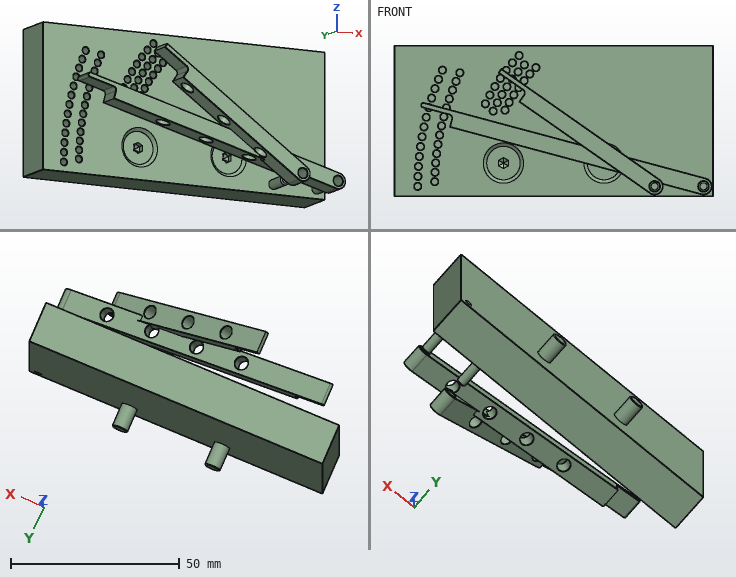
import cadquery as cq
import math

EDGE_CHAMFER = 0.2

PLATE_LENGTH = 95.0
PLATE_HEIGHT = 45.0
PLATE_THICKNESS = 12.9

ARM_WIDTH = 5.0
ARM_THICKNESS = 7.0
ARM_GAP = 6.8
ARM_OVERLAP = 2.0
POINTER_THICKNESS = 1.5
POINTER_LENGTH = 10.0
TIP_RADIUS = 0.7
NOTCH_RADIUS = 1.0
PIVOT_HEIGHT = 3.0
CROSS_HOLE_DIAMETER = 4.0
CROSS_HOLE_START = 13.5
CROSS_HOLE_PITCH = 15.0

LONG_PIVOT_X = 92.1
LONG_ARM_ANGLE = 15.0
LONG_ARM_REACH = 87.5
LONG_CROSS_HOLES = 4

SHORT_PIVOT_X = LONG_PIVOT_X - 14.5
SHORT_ARM_ANGLE = 35.0
SHORT_ARM_REACH = 57.5
SHORT_CROSS_HOLES = 3

LONG_ARM_BACK = -ARM_GAP
SHORT_ARM_BACK = LONG_ARM_BACK - ARM_THICKNESS + ARM_OVERLAP

PIN_DIAMETER = 3.0
PIN_CHAMFER = 0.5
PIN_LENGTH = PLATE_THICKNESS + ARM_GAP
SHORT_PIN_ADVANCE = 1.0

INDEX_HOLE_DIAMETER = 2.0
INDEX_HOLE_DEPTH = 6.0
LONG_INDEX_STEP = 2.0
LONG_INDEX_ROWS = [(85.0, 0.0, 13), (80.0, 1.0, 13)]
SHORT_INDEX_STEP = 3.0
SHORT_INDEX_ROWS = [(56.05, 26.0, 7), (53.0, 25.0, 7), (50.0, 27.0, 7)]

SCREW_SPACING = 29.9
SCREW_HEIGHT = 10.0
SHANK_DIAMETER = 4.9
HEAD_DIAMETER = 10.0
COUNTERSINK_DIAMETER = 12.0
SCREW_PROTRUSION = 7.4
SCREW_END_CHAMFER = 0.3
SOCKET_WIDTH = 2.85
SOCKET_DEPTH = 1.9
SOCKET_TAPER = 60.0
HEAD_RECESS = (COUNTERSINK_DIAMETER - HEAD_DIAMETER) / 2
SCREW_XS = [PLATE_LENGTH / 2 + side * SCREW_SPACING / 2 for side in (-1, 1)]


def turned(profile, plane):
    """Solid turned from (radius, distance) points about the normal of the plane."""
    points = [(0, profile[0][1])] + profile + [(0, profile[-1][1])]
    body = cq.Workplane("XZ").polyline(points).close().revolve(360, (0, 0), (0, 1))
    return cq.Workplane(body.val().located(cq.Location(plane)))


def facing_back(x, y, z):
    """Plane whose normal points to the back (+Y)."""
    return cq.Plane((x, y, z), xDir=(1, 0, 0), normal=(0, 1, 0))


def through_hole(diameter, depth, plane):
    """Cutter for a through hole with both rims chamfered."""
    radius = diameter / 2
    rim = radius + EDGE_CHAMFER
    return turned(
        [(rim, 0), (radius, EDGE_CHAMFER), (radius, depth - EDGE_CHAMFER), (rim, depth)], plane
    )


def blind_hole(diameter, depth, plane):
    """Cutter for a flat-bottomed hole with a chamfered mouth."""
    radius = diameter / 2
    return turned([(radius + EDGE_CHAMFER, 0), (radius, EDGE_CHAMFER), (radius, depth)], plane)


def index_holes(pivot_x, rows, step):
    cutters = []
    for radius, first_angle, count in rows:
        for index in range(count):
            angle = math.radians(first_angle + index * step)
            x = pivot_x - radius * math.cos(angle)
            z = PIVOT_HEIGHT + radius * math.sin(angle)
            cutters.append(blind_hole(INDEX_HOLE_DIAMETER, INDEX_HOLE_DEPTH, facing_back(x, 0, z)))
    return cutters


def countersunk_hole(x):
    rim = COUNTERSINK_DIAMETER / 2
    shank = SHANK_DIAMETER / 2
    profile = [(rim, 0), (shank, rim - shank), (shank, PLATE_THICKNESS)]
    return turned(profile, facing_back(x, 0, SCREW_HEIGHT))


def make_plate():
    plate = cq.Workplane("XY").box(
        PLATE_LENGTH, PLATE_THICKNESS, PLATE_HEIGHT, centered=False
    ).edges().chamfer(EDGE_CHAMFER)
    cutters = index_holes(LONG_PIVOT_X, LONG_INDEX_ROWS, LONG_INDEX_STEP)
    cutters += index_holes(SHORT_PIVOT_X, SHORT_INDEX_ROWS, SHORT_INDEX_STEP)
    cutters += [countersunk_hole(x) for x in SCREW_XS]
    for cutter in cutters:
        plate = plate.cut(cutter)
    return plate


def make_screw(x):
    head = HEAD_DIAMETER / 2
    shank = SHANK_DIAMETER / 2
    length = PLATE_THICKNESS + SCREW_PROTRUSION - HEAD_RECESS
    profile = [
        (head, 0),
        (shank, head - shank),
        (shank, length - SCREW_END_CHAMFER),
        (shank - SCREW_END_CHAMFER, length),
    ]
    plane = facing_back(x, HEAD_RECESS, SCREW_HEIGHT)
    corner_diameter = SOCKET_WIDTH / math.cos(math.radians(30))
    point_depth = 0.98 * SOCKET_WIDTH / 2 / math.tan(math.radians(SOCKET_TAPER))
    socket = cq.Workplane(plane).transformed(rotate=(0, 0, 90)).polygon(6, corner_diameter)
    socket = socket.extrude(SOCKET_DEPTH)
    point = cq.Workplane(plane).workplane(offset=SOCKET_DEPTH).transformed(rotate=(0, 0, 90))
    point = point.polygon(6, corner_diameter).extrude(point_depth, taper=SOCKET_TAPER)
    return turned(profile, plane).cut(socket).cut(point)


def make_pin(x, advance):
    radius = PIN_DIAMETER / 2
    tip = radius - PIN_CHAMFER
    profile = [(tip, 0), (radius, PIN_CHAMFER), (radius, PIN_LENGTH - PIN_CHAMFER), (tip, PIN_LENGTH)]
    return turned(profile, facing_back(x, -ARM_GAP - advance, PIVOT_HEIGHT))


def arm_plane(pivot_x, back, angle):
    """Plane on the back face of an arm: x runs to the pointer, y to the notched side, z to the front."""
    slope = math.radians(angle)
    direction = (-math.cos(slope), 0, math.sin(slope))
    return cq.Plane((pivot_x, back, PIVOT_HEIGHT), xDir=direction, normal=(0, -1, 0))


def arm_blank(plane, reach):
    """Solid arm outline: round at the pivot, notched along one side behind the pointer."""
    half = ARM_WIDTH / 2
    pointer_edge = POINTER_THICKNESS - half
    notch = reach - POINTER_LENGTH
    outline = (
        cq.Workplane(plane)
        .moveTo(0, -half)
        .lineTo(reach, -half)
        .lineTo(reach, pointer_edge)
        .lineTo(notch + NOTCH_RADIUS, pointer_edge)
        .radiusArc((notch, pointer_edge + NOTCH_RADIUS), NOTCH_RADIUS)
        .lineTo(notch, half)
        .lineTo(0, half)
        .threePointArc((-half, 0), (0, -half))
        .close()
    )
    return outline.extrude(ARM_THICKNESS)


def finish_arm(blank, plane, hole_count):
    """Chamfer both outlines of an arm, then drill its pivot hole and its cross holes."""
    half = ARM_WIDTH / 2
    arm = blank.faces("<Y or >Y").edges().chamfer(EDGE_CHAMFER)
    arm = arm.cut(through_hole(PIN_DIAMETER, ARM_THICKNESS, plane))
    for index in range(hole_count):
        center = (CROSS_HOLE_START + index * CROSS_HOLE_PITCH, -half, ARM_THICKNESS / 2)
        across = cq.Plane(plane.toWorldCoords(center), xDir=plane.xDir, normal=plane.yDir)
        arm = arm.cut(through_hole(CROSS_HOLE_DIAMETER, ARM_WIDTH, across))
    return arm


long_plane = arm_plane(LONG_PIVOT_X, LONG_ARM_BACK, LONG_ARM_ANGLE)
short_plane = arm_plane(SHORT_PIVOT_X, SHORT_ARM_BACK, SHORT_ARM_ANGLE)

long_pin = make_pin(LONG_PIVOT_X, 0)
short_pin = make_pin(SHORT_PIVOT_X, SHORT_PIN_ADVANCE)
plate = make_plate().cut(long_pin).cut(short_pin)
screws = [make_screw(x) for x in SCREW_XS]

short_blank = arm_blank(short_plane, SHORT_ARM_REACH)
short_arm = finish_arm(short_blank, short_plane, SHORT_CROSS_HOLES)

long_blank = arm_blank(long_plane, LONG_ARM_REACH).faces("<X").edges("|Y").fillet(TIP_RADIUS)
long_arm = finish_arm(long_blank, long_plane, LONG_CROSS_HOLES)
long_arm = long_arm.cut(short_blank).cut(short_pin)

bodies = [plate, long_arm, short_arm, long_pin, short_pin] + screws
result = cq.Compound.makeCompound([body.val() for body in bodies])